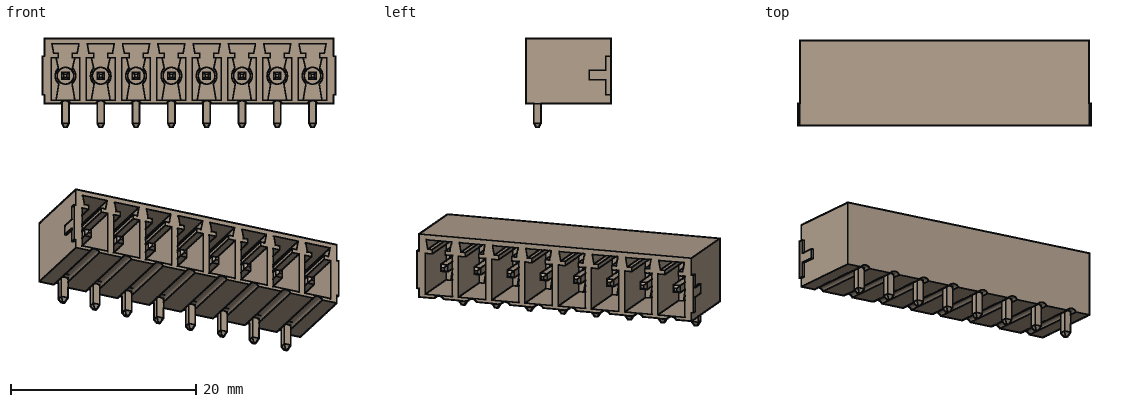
import cadquery as cq

POLE_COUNT = 8

TOTAL_LENGTH = 31.67
LUG_THICKNESS = 0.22
BODY_LENGTH = TOTAL_LENGTH - 2 * LUG_THICKNESS
BODY_DEPTH = 9.2
BODY_HEIGHT = 7.03
END_TO_POLE = 2.28
PITCH = (BODY_LENGTH - 2 * END_TO_POLE) / (POLE_COUNT - 1)
POLE_CENTRES = [(i - (POLE_COUNT - 1) / 2) * PITCH for i in range(POLE_COUNT)]

SOCKET_DEPTH = 6.97
SOCKET_HALF_WIDTH = 1.55
SOCKET_FLOOR = 0.38
NECK_HALF_WIDTH = 0.75
NECK_BOTTOM = 4.95
NECK_TOP = 5.4
SLOT_TOP = 6.45
SLOT_BOTTOM_HALF_WIDTH = 1.27
SLOT_TOP_HALF_WIDTH = 1.45

PIN_AXIS_Z = 3.0
BOSS_DIAMETER = 1.8
PAD_CLEARANCE_DIAMETER = 2.22
PAD_THICKNESS = 0.32
PAD_GAP_OUTER_HALF_WIDTH = 1.0
PAD_GAP_WAIST_HALF_WIDTH = 0.57

GROOVE_DIAMETER = 1.25
GROOVE_HEIGHT = 0.32

LUG_BAR_BOTTOM = 0.95
LUG_BAR_TOP = 5.13
LUG_BAR_DEPTH = 0.57
LUG_ARM_BOTTOM = 2.55
LUG_ARM_TOP = 3.6
LUG_ARM_DEPTH = 2.38

PIN_WIDTH = 0.8
PIN_END_WIDTH = 0.32
PIN_TAPER_LENGTH = 0.48
PIN_TIP_Y = 1.27
LEG_TO_BACK = 1.25
PIN_LEG_Y = BODY_DEPTH - LEG_TO_BACK
PIN_PROJECTION = 2.55


def front_sketch(x=0, y=0):
    """Sketch plane facing -Y at the given depth: local x is X, local y is Z, extrusion goes toward -Y."""
    return cq.Workplane("XZ", origin=(x, y, 0))


def mirrored_outline(half_outline):
    """Closed outline from its right half, listed from bottom to top."""
    return half_outline + [(-x, z) for x, z in reversed(half_outline)]


def make_socket(x):
    """Cavity of one pole, from the open face to the back wall."""
    outline = mirrored_outline([
        (SOCKET_HALF_WIDTH, SOCKET_FLOOR),
        (SOCKET_HALF_WIDTH, NECK_BOTTOM),
        (NECK_HALF_WIDTH, NECK_BOTTOM),
        (NECK_HALF_WIDTH, NECK_TOP),
        (SLOT_BOTTOM_HALF_WIDTH, NECK_TOP),
        (SLOT_TOP_HALF_WIDTH, SLOT_TOP),
    ])
    return front_sketch(x).polyline(outline).close().extrude(-SOCKET_DEPTH)


def make_back_wall_relief(x):
    """Two pads with an hourglass gap and a round clearance between them, and the boss around the pin."""
    gap = mirrored_outline([
        (PAD_GAP_OUTER_HALF_WIDTH, SOCKET_FLOOR),
        (PAD_GAP_WAIST_HALF_WIDTH, PIN_AXIS_Z),
        (PAD_GAP_OUTER_HALF_WIDTH, NECK_BOTTOM),
    ])
    back_wall = front_sketch(x, SOCKET_DEPTH)
    box_middle_z = (SOCKET_FLOOR + NECK_BOTTOM) / 2
    pads = back_wall.center(0, box_middle_z).rect(2 * SOCKET_HALF_WIDTH, NECK_BOTTOM - SOCKET_FLOOR)
    pads = pads.extrude(PAD_THICKNESS)
    pads = pads.cut(front_sketch(x, SOCKET_DEPTH).polyline(gap).close().extrude(PAD_THICKNESS))
    axis = front_sketch(x, SOCKET_DEPTH).center(0, PIN_AXIS_Z)
    pads = pads.cut(axis.circle(PAD_CLEARANCE_DIAMETER / 2).extrude(PAD_THICKNESS))
    boss = axis.circle(BOSS_DIAMETER / 2).extrude(PAD_THICKNESS)
    return pads, boss


def make_groove(x):
    """Round bar that cuts the underside groove over the full depth."""
    axis_z = GROOVE_HEIGHT - GROOVE_DIAMETER / 2
    return front_sketch(x).center(0, axis_z).circle(GROOVE_DIAMETER / 2).extrude(-BODY_DEPTH)


def make_end_lugs():
    """T-shaped plate over the full length; only its ends stand out of the housing block."""
    outline = [
        (0, LUG_BAR_BOTTOM),
        (LUG_BAR_DEPTH, LUG_BAR_BOTTOM),
        (LUG_BAR_DEPTH, LUG_ARM_BOTTOM),
        (LUG_ARM_DEPTH, LUG_ARM_BOTTOM),
        (LUG_ARM_DEPTH, LUG_ARM_TOP),
        (LUG_BAR_DEPTH, LUG_ARM_TOP),
        (LUG_BAR_DEPTH, LUG_BAR_TOP),
        (0, LUG_BAR_TOP),
    ]
    return cq.Workplane("YZ").polyline(outline).close().extrude(TOTAL_LENGTH / 2, both=True)


def tapered_end(plane):
    """Four-sided taper that closes a pin end, pointing along the plane's normal."""
    return (
        plane.rect(PIN_WIDTH, PIN_WIDTH)
        .workplane(offset=PIN_TAPER_LENGTH)
        .rect(PIN_END_WIDTH, PIN_END_WIDTH)
        .loft(combine=True)
    )


def make_pin(x):
    """Contact arm along Y joined at a right angle to a solder leg along Z, both with tapered ends."""
    half = PIN_WIDTH / 2
    arm_start = PIN_TIP_Y + PIN_TAPER_LENGTH
    leg_end = PIN_TAPER_LENGTH - PIN_PROJECTION
    bent_bar = [
        (arm_start, PIN_AXIS_Z - half),
        (PIN_LEG_Y - half, PIN_AXIS_Z - half),
        (PIN_LEG_Y - half, leg_end),
        (PIN_LEG_Y + half, leg_end),
        (PIN_LEG_Y + half, PIN_AXIS_Z + half),
        (arm_start, PIN_AXIS_Z + half),
    ]
    bar = cq.Workplane("YZ", origin=(x, 0, 0)).polyline(bent_bar).close().extrude(half, both=True)
    arm_end = tapered_end(front_sketch(x, arm_start).center(0, PIN_AXIS_Z))
    leg_tip = tapered_end(cq.Workplane("XY", origin=(x, PIN_LEG_Y, leg_end)).transformed(rotate=(180, 0, 0)))
    return bar.union(arm_end).union(leg_tip)


def make_housing(pins):
    """Block with end lugs, sockets and grooves, and a close-fitting passage for every pin."""
    block = cq.Workplane("XY").box(BODY_LENGTH, BODY_DEPTH, BODY_HEIGHT, centered=(True, False, False))
    block = block.union(make_end_lugs())
    for x in POLE_CENTRES:
        pads, boss = make_back_wall_relief(x)
        block = block.cut(make_socket(x)).union(pads).union(boss).cut(make_groove(x))
    for pin in pins:
        block = block.cut(pin)
    return block


pins = [make_pin(x) for x in POLE_CENTRES]
housing = make_housing(pins)

result = cq.Compound.makeCompound([housing.val(), *[pin.val() for pin in pins]])